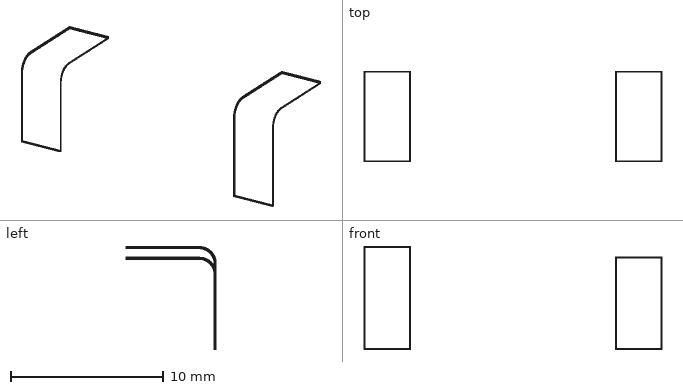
import cadquery as cq
import math

strip_width = 3.0
thickness = 0.1
outer_radius = 1.1
inner_radius = outer_radius - thickness
overall_length = 19.5
depth = 5.9
tall_height = 6.72
height_step = 0.7
short_height = tall_height - height_step


def bent_strip(left_x, height):
    """Upright leg at the -Y side, rounded into a flat leg running towards +Y."""
    bend_y = outer_radius
    bend_z = height - outer_radius
    outer_offset = outer_radius * math.cos(math.radians(45))
    inner_offset = inner_radius * math.cos(math.radians(45))
    profile = (
        cq.Workplane("YZ")
        .workplane(offset=left_x)
        .moveTo(0, 0)
        .lineTo(0, bend_z)
        .threePointArc((bend_y - outer_offset, bend_z + outer_offset), (bend_y, height))
        .lineTo(depth, height)
        .lineTo(depth, height - thickness)
        .lineTo(bend_y, height - thickness)
        .threePointArc((bend_y - inner_offset, bend_z + inner_offset), (thickness, bend_z))
        .lineTo(thickness, 0)
        .close()
    )
    return profile.extrude(strip_width)


tall_strip = bent_strip(0, tall_height)
short_strip = bent_strip(overall_length - strip_width, short_height)

result = cq.Compound.makeCompound([tall_strip.val(), short_strip.val()])